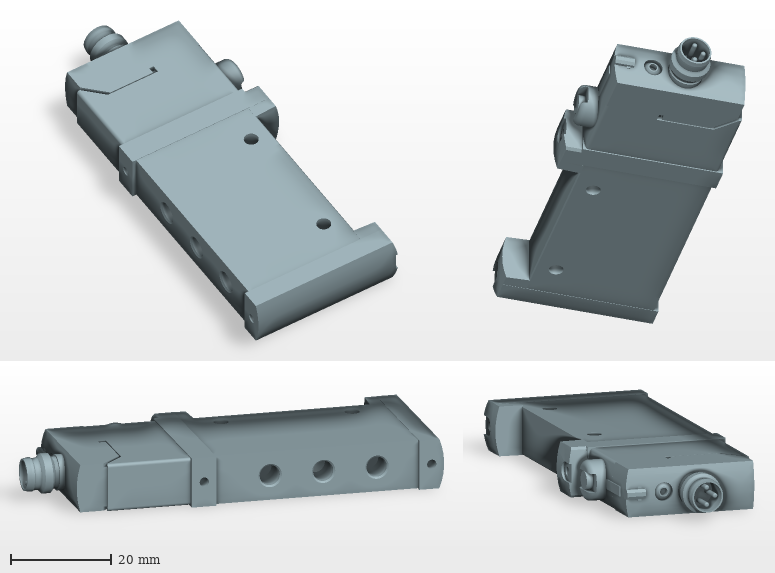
import cadquery as cq
import math


LENGTH = 83.1
HEIGHT = 33.1
THICKNESS = 10.2
CROWN_RISE = 0.8

INNER_PLATE_START = 30.9
INNER_PLATE_END = 36.0
OUTER_PLATE_START = 77.95
OUTER_PLATE_CROWN_RISE = 1.0
INNER_PLATE_CREST = 31.0
INNER_PLATE_CROWN_RISE = 0.6
INNER_PLATE_BEVEL = 0.5
PLATE_SHOULDER_Y = 29.1
SCREW_HOLE_DIAMETER = 1.9
SCREW_HOLE_INSET = 2.6
SCREW_SEAT_WIDTH = 3.9
SCREW_SEAT_DEPTH = 0.6
HOOK_THICKNESS = 10.1
HOOK_BASE_LENGTH = 2.75
HOOK_TIP_LENGTH = 2.4

BLOCK_THICKNESS = 10.05
BLOCK_BOTTOM = 0.9
BLOCK_TOP = 27.6
BLOCK_CHAMFER = 0.25
PORT_MIDDLE_X = 58.4
PORT_PITCH = 11.05
PORT_DIAMETER = 4.15
PORT_MOUTH_DIAMETER = 4.8
PORT_DEPTH = 6.65
DRILL_POINT_ANGLE = 118.0
MOUNT_HOLE_DIAMETER = 3.0
MOUNT_HOLE_XS = (43.4, 70.5)
MOUNT_HOLE_Y = 23.35

HOUSING_THICKNESS = 9.8
HOUSING_TOP = 29.2
HOUSING_START = 13.8
HOUSING_STEP_X = 17.9
HOUSING_STEP_Y = 17.45
HOUSING_TAB_X = 16.6
HOUSING_TAB_Y = 16.6
HOUSING_MITRE = 12.2
SEAM_CORE_MITRE = 12.9
SEAM_CORE_THICKNESS = 8.15
HOUSING_FILLET = 0.7

KNOB_DIAMETER = 8.2
KNOB_X = 23.5
KNOB_TOP = 32.5
KNOB_FILLET = 1.2
KNOB_SLOT_WIDTH = 3.9
KNOB_SLOT_DEPTH = 1.3
KNOB_POST_DIAMETER = 3.8

HEAD_FRONT = 7.65
HEAD_CROWN_RISE = 0.75
HEAD_BOTTOM = 2.0
HEAD_SEAM_X = 16.2
HEAD_STEP_X = 17.6
HEAD_STEP_Y = 16.45
HEAD_MITRE = 11.2

LATCH_TIP = 6.65
LATCH_BOTTOM = 25.2
LATCH_TOP = 29.4
LATCH_WIDTH = 2.0
LATCH_BEVEL_WIDTH = 0.6
LATCH_BEVEL_DEPTH = 0.4
LATCH_BAR_WIDTH = 2.8
LATCH_BAR_HEIGHT = 0.75
LATCH_BAR_BOTTOM = 25.85
LATCH_BAR_FRONT = 7.5
LATCH_ROOT = 8.7
TONGUE_START = 10.8
TONGUE_END = 18.45
TONGUE_BOTTOM = 28.9

SCREW_Y = 21.1
SCREW_DIAMETER = 3.8
SCREW_FACE_DIAMETER = 2.0
SCREW_RIM_DEPTH = 1.0
SCREW_SOCKET_DIAMETER = 1.6
SCREW_SOCKET_DEPTH = 1.25

PLUG_Y = 14.5
PLUG_RING_START = 1.0
PLUG_RING_END = 1.5
PLUG_RING_FOOT = 1.75
PLUG_COLLAR_FOOT = 2.9
PLUG_COLLAR_START = 3.6
PLUG_COLLAR_END = 5.15
PLUG_COLLAR_BACK = 5.8
PLUG_BASE_START = 6.65
PLUG_ROOT = 9.1
PLUG_TIP_DIAMETER = 6.5
PLUG_RING_DIAMETER = 6.9
PLUG_COLLAR_DIAMETER = 8.1
PLUG_BASE_DIAMETER = 7.2
PLUG_BORE_DIAMETER = 5.8
PLUG_BORE_DEPTH = 5.8
PIN_DIAMETER = 1.0
PIN_TIP = 0.4
PIN_TIP_FILLET = 0.3
PIN_CIRCLE_RADIUS = 1.75


def box(x0, x1, y0, y1, thickness):
    """Box between two X and two Y limits, centred on Z = 0."""
    middle = ((x0 + x1) / 2, (y0 + y1) / 2, 0)
    return cq.Workplane().box(x1 - x0, y1 - y0, thickness).translate(middle)


def prism(outline, thickness):
    """Prism on an XY outline, centred on Z = 0."""
    return cq.Workplane("XY").polyline(outline).close().extrude(thickness / 2, both=True)


def crown_top(x0, x1, y0, crest, rise, thickness):
    """Bar along X whose top is an arc with its crest at Z = 0."""
    half = thickness / 2
    return (
        cq.Workplane("YZ", origin=(x0, 0, 0))
        .moveTo(y0, -half)
        .lineTo(crest - rise, -half)
        .threePointArc((crest, 0), (crest - rise, half))
        .lineTo(y0, half)
        .close()
        .extrude(x1 - x0)
    )


def crown_end(crest, rise, back, y0, y1, thickness):
    """Bar along Y whose end toward `crest` is an arc with its crest at Z = 0."""
    half = thickness / 2
    edge = crest + rise if crest < back else crest - rise
    return (
        cq.Workplane("XZ", origin=(0, y1, 0))
        .moveTo(back, -half)
        .lineTo(edge, -half)
        .threePointArc((crest, 0), (edge, half))
        .lineTo(back, half)
        .close()
        .extrude(y1 - y0)
    )


def y_hole(x, diameter):
    """Cutter for a hole through the full height."""
    return cq.Workplane("XZ").center(x, 0).circle(diameter / 2).extrude(-HEIGHT)


def hook(root, direction):
    """Tapered lug beside a plate, standing on the block."""
    profile = [
        (root, BLOCK_TOP - BLOCK_CHAMFER),
        (root + direction * HOOK_BASE_LENGTH, BLOCK_TOP - BLOCK_CHAMFER),
        (root + direction * HOOK_TIP_LENGTH, HEIGHT),
        (root, HEIGHT),
    ]
    return prism(profile, HOOK_THICKNESS)


def inner_plate_face():
    """Upper part of the inner plate: a bulged face with a bevel along each side."""
    half = THICKNESS / 2
    crown_edge = INNER_PLATE_CREST + INNER_PLATE_CROWN_RISE
    crown_half = half - INNER_PLATE_BEVEL
    return (
        cq.Workplane("XZ", origin=(0, HEIGHT, 0))
        .moveTo(INNER_PLATE_END, -half)
        .lineTo(crown_edge + INNER_PLATE_BEVEL, -half)
        .lineTo(crown_edge, -crown_half)
        .threePointArc((INNER_PLATE_CREST, 0), (crown_edge, crown_half))
        .lineTo(crown_edge + INNER_PLATE_BEVEL, half)
        .lineTo(INNER_PLATE_END, half)
        .close()
        .extrude(HEIGHT - PLATE_SHOULDER_Y)
    )


def screw_cutter(side_x, direction):
    """Screw hole through a plate, with a head slot open to the outward side at `side_x`."""
    axis_x = side_x + direction * SCREW_HOLE_INSET
    seat_bottom = HEIGHT - SCREW_SEAT_DEPTH
    hole = y_hole(axis_x, SCREW_HOLE_DIAMETER)
    seat_round = y_hole(axis_x, SCREW_SEAT_WIDTH).intersect(box(0, LENGTH, seat_bottom, HEIGHT, THICKNESS))
    seat_slot = box(min(side_x, axis_x), max(side_x, axis_x), seat_bottom, HEIGHT, SCREW_SEAT_WIDTH)
    return hole.union(seat_round).union(seat_slot)


def make_plates():
    inner = box(INNER_PLATE_START, INNER_PLATE_END, 0, PLATE_SHOULDER_Y, THICKNESS).union(inner_plate_face())
    outer = crown_end(LENGTH, OUTER_PLATE_CROWN_RISE, OUTER_PLATE_START, 0, HEIGHT, THICKNESS)
    top = crown_top(0, LENGTH, 0, HEIGHT, CROWN_RISE, THICKNESS)
    plates = inner.union(outer).intersect(top)
    return plates.cut(screw_cutter(INNER_PLATE_START, 1)).cut(screw_cutter(LENGTH, -1))


def make_hooks():
    top = crown_top(0, LENGTH, 0, HEIGHT, CROWN_RISE, THICKNESS)
    return hook(INNER_PLATE_END, 1).union(hook(OUTER_PLATE_START, -1)).intersect(top)


def port(x, pointed):
    """Cutter for a countersunk port, with a drill point when `pointed`."""
    radius = PORT_DIAMETER / 2
    mouth = PORT_MOUTH_DIAMETER / 2
    lead = mouth - radius
    point = radius / math.tan(math.radians(DRILL_POINT_ANGLE / 2)) if pointed else 0
    profile = [(0, 0), (mouth, 0), (radius, lead), (radius, PORT_DEPTH), (0, PORT_DEPTH + point)]
    bore = cq.Workplane("XY").polyline(profile).close().revolve(360, (0, 0, 0), (0, 1, 0))
    return bore.translate((x, BLOCK_BOTTOM, 0))


def make_block():
    block = box(INNER_PLATE_END, OUTER_PLATE_START, BLOCK_BOTTOM, BLOCK_TOP, BLOCK_THICKNESS)
    block = block.edges("|X and >Y").chamfer(BLOCK_CHAMFER)
    for step in (-1, 0, 1):
        block = block.cut(port(PORT_MIDDLE_X + step * PORT_PITCH, pointed=step == 0))
    for x in MOUNT_HOLE_XS:
        hole = cq.Workplane("XY").center(x, MOUNT_HOLE_Y).circle(MOUNT_HOLE_DIAMETER / 2)
        block = block.cut(hole.extrude(THICKNESS, both=True))
    return block


def make_tongue():
    """Thin end of the latch clip, lying in the crowns of head and housing."""
    return box(TONGUE_START, TONGUE_END, TONGUE_BOTTOM, LATCH_TOP, LATCH_WIDTH)


def head_bay(mitre, thickness):
    """Cutter for the space that the connector head takes out of the housing."""
    outline = [
        (HOUSING_START, HEIGHT),
        (HEAD_SEAM_X, HEIGHT),
        (HEAD_SEAM_X, HOUSING_STEP_Y),
        (HOUSING_STEP_X, HOUSING_STEP_Y),
        (HOUSING_STEP_X, HOUSING_STEP_X - mitre),
        (HOUSING_START, HOUSING_START - mitre),
    ]
    return prism(outline, thickness)


def make_housing():
    housing = crown_top(
        HOUSING_START, INNER_PLATE_START, BLOCK_BOTTOM, HOUSING_TOP, CROWN_RISE, HOUSING_THICKNESS
    )
    housing = housing.edges("|X").fillet(HOUSING_FILLET)
    tab = box(HOUSING_TAB_X, HOUSING_STEP_X, HOUSING_TAB_Y, HOUSING_STEP_Y, SEAM_CORE_THICKNESS)
    return (
        housing.cut(head_bay(HOUSING_MITRE, THICKNESS))
        .cut(head_bay(SEAM_CORE_MITRE, SEAM_CORE_THICKNESS))
        .union(tab)
        .cut(make_tongue())
    )


def make_knob():
    root = HOUSING_TOP - CROWN_RISE
    base = cq.Workplane("XZ", origin=(KNOB_X, root, 0))
    knob = base.circle(KNOB_DIAMETER / 2).extrude(root - KNOB_TOP)
    knob = knob.faces(">Y").edges().fillet(KNOB_FILLET)
    reach = KNOB_DIAMETER / 2
    slot = box(KNOB_X - reach, KNOB_X + reach, KNOB_TOP - KNOB_SLOT_DEPTH, KNOB_TOP, KNOB_SLOT_WIDTH)
    post = base.circle(KNOB_POST_DIAMETER / 2).extrude(root - KNOB_TOP)
    return knob.cut(slot).union(post)


def make_latch():
    clip = box(LATCH_TIP, LATCH_ROOT, LATCH_BOTTOM, HOUSING_TOP, LATCH_WIDTH)
    clip = clip.faces("<X").edges("|Y").chamfer(LATCH_BEVEL_WIDTH, LATCH_BEVEL_DEPTH)
    bar_top = LATCH_BAR_BOTTOM + LATCH_BAR_HEIGHT
    bar = box(LATCH_BAR_FRONT, LATCH_ROOT, LATCH_BAR_BOTTOM, bar_top, LATCH_BAR_WIDTH)
    return clip.union(bar).union(make_tongue())


def screw_recess():
    """Cutter leaving a conical screw head with a round socket, flush with the head's face."""
    rim = SCREW_DIAMETER / 2
    face = SCREW_FACE_DIAMETER / 2
    groove = (
        cq.Workplane("XY")
        .polyline([(0, face), (SCREW_RIM_DEPTH, rim), (0, rim)])
        .close()
        .revolve(360, (0, 0, 0), (1, 0, 0))
    )
    socket = cq.Workplane("YZ").circle(SCREW_SOCKET_DIAMETER / 2).extrude(SCREW_SOCKET_DEPTH)
    return groove.union(socket).translate((HEAD_FRONT, SCREW_Y, 0))


def make_plug():
    tip = PLUG_TIP_DIAMETER / 2
    ring = PLUG_RING_DIAMETER / 2
    collar = PLUG_COLLAR_DIAMETER / 2
    base = PLUG_BASE_DIAMETER / 2
    profile = [
        (0, 0),
        (0, tip),
        (PLUG_RING_START, ring),
        (PLUG_RING_END, ring),
        (PLUG_RING_FOOT, tip),
        (PLUG_COLLAR_FOOT, tip),
        (PLUG_COLLAR_START, collar),
        (PLUG_COLLAR_END, collar),
        (PLUG_COLLAR_BACK, tip),
        (PLUG_BASE_START, tip),
        (PLUG_BASE_START, base),
        (PLUG_ROOT, base),
        (PLUG_ROOT, 0),
    ]
    plug = cq.Workplane("XY").polyline(profile).close().revolve(360, (0, 0, 0), (1, 0, 0))
    plug = plug.cut(cq.Workplane("YZ").circle(PLUG_BORE_DIAMETER / 2).extrude(PLUG_BORE_DEPTH))
    r = PIN_CIRCLE_RADIUS
    pins = (
        cq.Workplane("YZ", origin=(PIN_TIP, 0, 0))
        .pushPoints([(0, r), (0, -r), (-r, 0)])
        .circle(PIN_DIAMETER / 2)
        .extrude(PLUG_ROOT - PIN_TIP)
        .faces("<X")
        .edges()
        .fillet(PIN_TIP_FILLET)
    )
    return plug.union(pins).translate((0, PLUG_Y, 0))


def head_block(mitre, thickness):
    """The head's outline with its 45 degree lower rear corner at the given X minus Y."""
    outline = [
        (HEAD_FRONT, HEAD_BOTTOM),
        (HEAD_BOTTOM + mitre, HEAD_BOTTOM),
        (HEAD_STEP_X, HEAD_STEP_X - mitre),
        (HEAD_STEP_X, HEAD_STEP_Y),
        (HEAD_SEAM_X, HEAD_STEP_Y),
        (HEAD_SEAM_X, HOUSING_TOP),
        (HEAD_FRONT, HOUSING_TOP),
    ]
    return prism(outline, thickness)


def make_head():
    head = head_block(HEAD_MITRE, HOUSING_THICKNESS).union(head_block(SEAM_CORE_MITRE, SEAM_CORE_THICKNESS))
    head = head.intersect(
        crown_end(HEAD_FRONT, HEAD_CROWN_RISE, HEAD_STEP_X, HEAD_BOTTOM, HOUSING_TOP, HOUSING_THICKNESS)
    )
    head = head.intersect(
        crown_top(HEAD_FRONT, HEAD_STEP_X, HEAD_BOTTOM, HOUSING_TOP, CROWN_RISE, HOUSING_THICKNESS)
    )
    return head.cut(screw_recess()).union(make_latch()).union(make_plug())


valve_body = make_block().union(make_plates()).union(make_hooks()).union(make_housing()).union(make_knob())
connector_head = make_head()

result = cq.Compound.makeCompound([valve_body.val(), connector_head.val()])